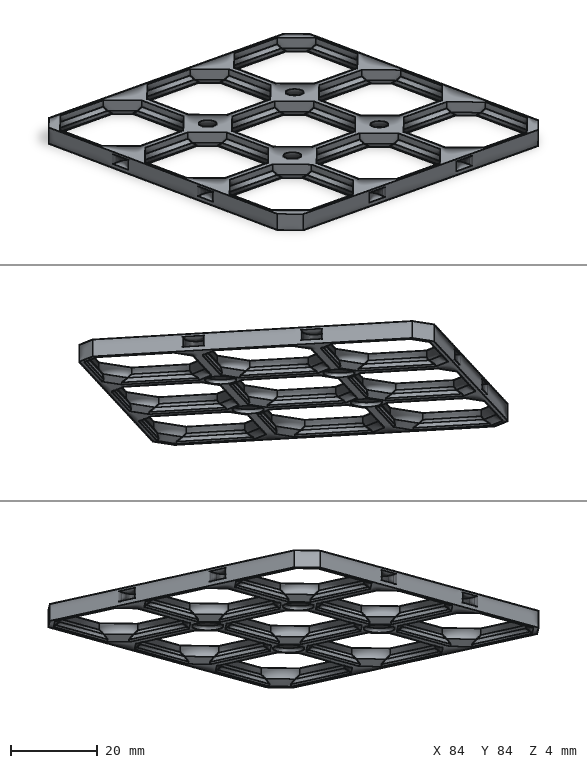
import cadquery as cq

side = 84.0
thickness = 4.0
cells = 3
pitch = side / cells
corner_cut = 4.2

rib_at_bottom = 1.1
rib_at_lip = 1.5
rib_at_top = 0.8
lip_chamfer = rib_at_lip - rib_at_bottom
lip_slope_start = 1.4
lip_slope_end = 2.4

pad_half_diagonal = 7.9
pad_chamfer = 1.4

screw_diameter = 4.1
head_diameter = 7.2
head_depth = 1.0

pocket_width = 5.2
pocket_depth = 5.1
pocket_floor = 1.0
pocket_height = 2.4
throat_width = 4.8
throat_opens_by = 1.0
mouth_flare_radius = 0.2


def square_block(bottom_side, top_side, bottom, top):
    """Square block centred on Z whose side changes evenly from bottom to top."""
    return (
        cq.Workplane("XY")
        .workplane(offset=bottom)
        .rect(bottom_side, bottom_side)
        .workplane(offset=top - bottom)
        .rect(top_side, top_side)
        .loft(ruled=True)
    )


def cell_opening():
    """Eight-sided cell opening with a lip along the ribs and bevelled pad undersides."""
    bottom_side = pitch - 2 * rib_at_bottom
    lip_side = pitch - 2 * rib_at_lip
    top_side = pitch - 2 * rib_at_top
    between_ribs = (
        square_block(bottom_side, lip_side, 0, lip_chamfer)
        .union(square_block(lip_side, lip_side, lip_chamfer, lip_slope_start))
        .union(square_block(lip_side, top_side, lip_slope_start, lip_slope_end))
        .union(square_block(top_side, top_side, lip_slope_end, thickness))
    )

    pad_gap = (pitch - pad_half_diagonal) * 2**0.5
    pad_gap_at_bottom = pad_gap + 2 * pad_chamfer
    between_pads = (
        square_block(pad_gap_at_bottom, pad_gap, 0, pad_chamfer)
        .union(square_block(pad_gap, pad_gap, pad_chamfer, thickness))
        .rotate((0, 0, 0), (0, 0, 1), 45)
    )
    return between_ribs.intersect(between_pads)


def screw_hole():
    """Through hole with a straight head recess and a 90 degree countersink from below."""
    countersink_depth = (head_diameter - screw_diameter) / 2
    shank = cq.Workplane("XY").circle(screw_diameter / 2).extrude(thickness)
    head = cq.Workplane("XY").circle(head_diameter / 2).extrude(head_depth)
    countersink = (
        cq.Workplane("XY")
        .workplane(offset=head_depth)
        .circle(head_diameter / 2)
        .workplane(offset=countersink_depth)
        .circle(screw_diameter / 2)
        .loft()
    )
    return shank.union(head).union(countersink)


def wall_pocket():
    """Round-ended pocket in the -Y wall at X = 0, with a flared mouth and a narrower throat."""
    half_width = pocket_width / 2
    half_throat = throat_width / 2
    half_mouth = half_throat + mouth_flare_radius
    straight_end = pocket_depth - half_width
    return (
        cq.Workplane("XY")
        .workplane(offset=pocket_floor)
        .center(0, -side / 2)
        .moveTo(-half_mouth, 0)
        .lineTo(half_mouth, 0)
        .radiusArc((half_throat, mouth_flare_radius), mouth_flare_radius)
        .lineTo(half_width, throat_opens_by)
        .lineTo(half_width, straight_end)
        .radiusArc((0, pocket_depth), -half_width)
        .radiusArc((-half_width, straight_end), -half_width)
        .lineTo(-half_width, throat_opens_by)
        .lineTo(-half_throat, mouth_flare_radius)
        .radiusArc((-half_mouth, 0), mouth_flare_radius)
        .close()
        .extrude(pocket_height)
    )


cell_centres = [(i - (cells - 1) / 2) * pitch for i in range(cells)]
crossings = [(i - cells / 2) * pitch for i in range(1, cells)]

result = (
    cq.Workplane("XY")
    .rect(side, side)
    .extrude(thickness)
    .edges("|Z")
    .chamfer(corner_cut)
)

opening = cell_opening()
for x in cell_centres:
    for y in cell_centres:
        result = result.cut(opening.translate((x, y, 0)))

hole = screw_hole()
for x in crossings:
    for y in crossings:
        result = result.cut(hole.translate((x, y, 0)))

pocket = wall_pocket()
for x in crossings:
    for wall_angle in (0, 90, 180, 270):
        placed = pocket.translate((x, 0, 0)).rotate((0, 0, 0), (0, 0, 1), wall_angle)
        result = result.cut(placed)